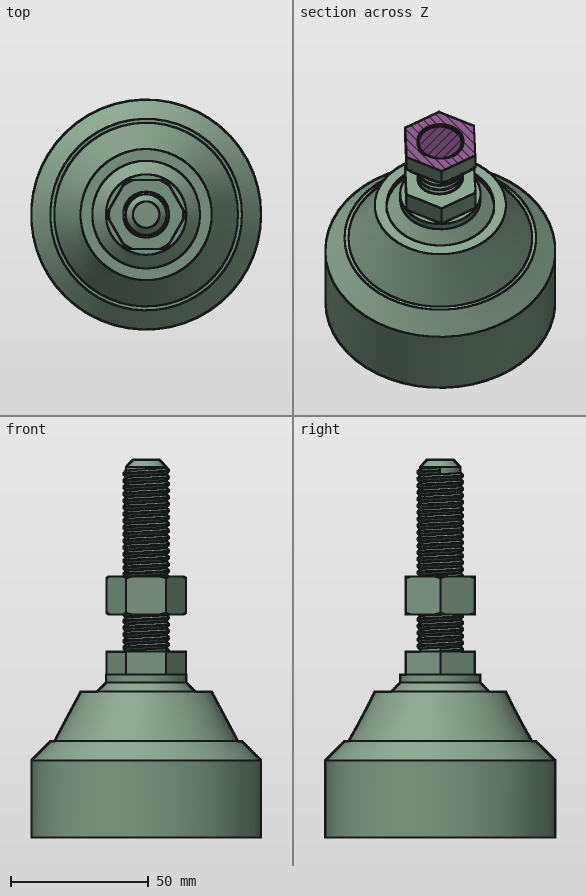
import cadquery as cq
import math

base_diameter = 83.7
base_top = 35.0
base_chamfer = 7.0

cover_bottom_diameter = 66.8
cover_top_diameter = 47.7
cover_top = 53.0
recess_diameter = 39.2

collar_diameter = 29.3
collar_bottom = 56.3
hex_bottom = 59.2
hex_top = 67.6
stud_top = 137.4
core_diameter = 14.8
tip_diameter = 9.6
tip_height = 2.7

recess_floor = collar_bottom - (recess_diameter - collar_diameter) / 2

thread_diameter = 16.6
thread_start = 67.7
thread_length = 65.7
thread_turns = 27
thread_pitch = thread_length / thread_turns
ridge_width = 2.2
crest_width = 0.3
ridge_embed = 0.1

hex_across_corners = 29.0

nut_bottom = 81.1
nut_top = 95.0
nut_face_diameter = 27.0
nut_chamfer_angle = 30.0


def make_base():
    pad = cq.Workplane("XY").circle(base_diameter / 2).extrude(base_top)
    return pad.faces(">Z").chamfer(base_chamfer)


def make_cover():
    bottom_radius = cover_bottom_diameter / 2
    top_radius = cover_top_diameter / 2
    recess_radius = recess_diameter / 2
    profile = [
        (0, base_top),
        (bottom_radius, base_top),
        (top_radius, cover_top),
        (recess_radius, cover_top),
        (recess_radius, recess_floor),
        (0, recess_floor),
    ]
    return cq.Workplane("XZ").polyline(profile).close().revolve(360, (0, 0), (0, 1))


def hexagon(bottom, top):
    return cq.Workplane("XY").workplane(offset=bottom).polygon(6, hex_across_corners).extrude(top - bottom)


def make_thread():
    """Helical ridge whose first turn rises out of the stud hexagon."""
    core_radius = core_diameter / 2
    root_radius = core_radius - ridge_embed
    crest_radius = thread_diameter / 2
    flank_slope = (ridge_width - crest_width) / 2 / (crest_radius - core_radius)
    root_half_width = ridge_width / 2 + ridge_embed * flank_slope
    helix = cq.Wire.makeHelix(thread_pitch, thread_length, root_radius)
    section = [
        (root_radius, -root_half_width),
        (crest_radius, -crest_width / 2),
        (crest_radius, crest_width / 2),
        (root_radius, root_half_width),
    ]
    ridge = cq.Workplane("XZ").polyline(section).close().sweep(cq.Workplane(helix), isFrenet=True)
    return ridge.translate((0, 0, thread_start))


def make_stud():
    collar_radius = collar_diameter / 2
    core_radius = core_diameter / 2
    shoulder_radius = recess_diameter / 2
    profile = [
        (0, recess_floor),
        (shoulder_radius, recess_floor),
        (collar_radius, collar_bottom),
        (collar_radius, hex_bottom),
        (core_radius, hex_bottom),
        (core_radius, stud_top - tip_height),
        (tip_diameter / 2, stud_top),
        (0, stud_top),
    ]
    turned = cq.Workplane("XZ").polyline(profile).close().revolve(360, (0, 0), (0, 1))
    return turned.union(make_thread()).union(hexagon(hex_bottom, hex_top))


def make_nut():
    face_radius = nut_face_diameter / 2
    corner_radius = hex_across_corners / 2
    chamfer_height = (corner_radius - face_radius) * math.tan(math.radians(nut_chamfer_angle))
    profile = [
        (0, nut_bottom),
        (face_radius, nut_bottom),
        (corner_radius, nut_bottom + chamfer_height),
        (corner_radius, nut_top - chamfer_height),
        (face_radius, nut_top),
        (0, nut_top),
    ]
    blank = cq.Workplane("XZ").polyline(profile).close().revolve(360, (0, 0), (0, 1))
    return hexagon(nut_bottom, nut_top).intersect(blank).faces(">Z").workplane().hole(thread_diameter)


base = make_base().solids().val()
cover = make_cover().solids().val()
stud = make_stud().solids().val()
nut = make_nut().solids().val()

result = cq.Compound.makeCompound([base, cover, stud, nut])